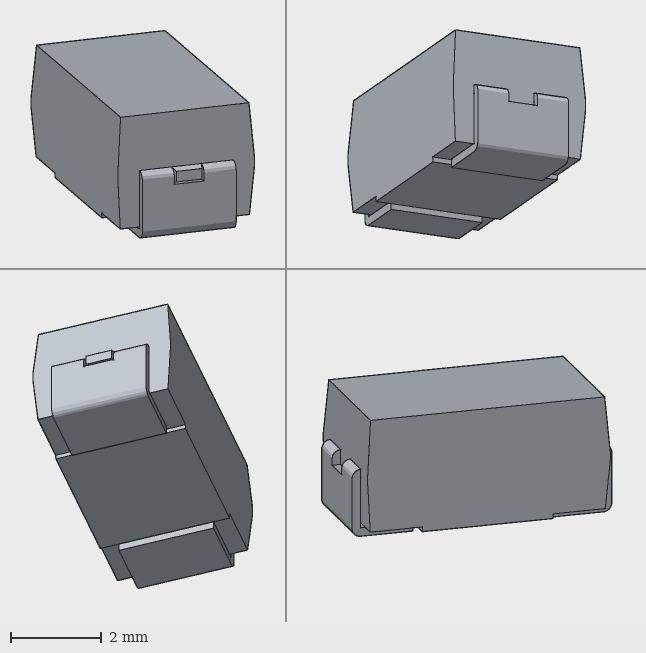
import cadquery as cq

LENGTH = 6.0
HEIGHT = 2.8
METAL = 0.2

HOUSING_LENGTH = LENGTH - 2 * METAL
HOUSING_WIDTH = 3.2
BAND_TOP = 1.555
BAND_BOTTOM = BAND_TOP - METAL
DRAFT_INSET = 0.095
FOOT_LENGTH = 3.02
FOOT_BOTTOM = 0.1
RELIEF_TOP = 0.215

LEAD_WIDTH = 2.195
TERMINAL_LENGTH = 1.405
NOTCH_WIDTH = 0.695
NOTCH_FLOOR = 1.21
NOTCH_REACH = 0.2

KEY_INSET = 0.05

HOUSING_END = HOUSING_LENGTH / 2
NOTCH_ROOT = HOUSING_END - NOTCH_REACH
NOTCH_HEIGHT = BAND_TOP - NOTCH_FLOOR


def box_between(x_min, x_max, width, z_min, z_max):
    """Box centred on Y, placed by its X and Z limits."""
    size_x = x_max - x_min
    size_z = z_max - z_min
    box = cq.Workplane("XY").box(size_x, width, size_z, centered=(False, True, False))
    return box.translate((x_min, 0, z_min))


def drafted_block(z_wide, z_narrow):
    """Rectangular block that narrows from the band toward z_narrow."""
    return (
        cq.Workplane("XY", origin=(0, 0, z_wide))
        .rect(HOUSING_LENGTH, HOUSING_WIDTH)
        .workplane(offset=z_narrow - z_wide)
        .rect(HOUSING_LENGTH - 2 * DRAFT_INSET, HOUSING_WIDTH - 2 * DRAFT_INSET)
        .loft(ruled=True)
    )


def make_key():
    """Key with a straight root inside the housing and a tapered nose in the notch."""
    root = box_between(NOTCH_ROOT, HOUSING_END, NOTCH_WIDTH, NOTCH_FLOOR, BAND_TOP)
    nose = (
        cq.Workplane("YZ", origin=(HOUSING_END, 0, NOTCH_FLOOR + NOTCH_HEIGHT / 2))
        .rect(NOTCH_WIDTH, NOTCH_HEIGHT)
        .workplane(offset=METAL)
        .rect(NOTCH_WIDTH - 2 * KEY_INSET, NOTCH_HEIGHT - 2 * KEY_INSET)
        .loft(ruled=True)
    )
    return root.union(nose)


def make_leadframe():
    """Strip through the housing, bent down and back under it at both ends."""
    outer = box_between(-LENGTH / 2, LENGTH / 2, LEAD_WIDTH, 0, BAND_TOP)
    outer = outer.edges("|Y").fillet(METAL)
    inside = box_between(-HOUSING_END, HOUSING_END, LEAD_WIDTH, METAL, BAND_BOTTOM)
    terminal_end = LENGTH / 2 - TERMINAL_LENGTH
    terminal_gap = box_between(-terminal_end, terminal_end, LEAD_WIDTH, 0, METAL)
    leadframe = outer.cut(inside).cut(terminal_gap)

    notch = box_between(NOTCH_ROOT, LENGTH / 2, NOTCH_WIDTH, NOTCH_FLOOR, BAND_TOP)
    return leadframe.cut(notch).cut(notch.mirror("YZ"))


def make_housing(leadframe):
    """Moulded housing with its foot and key, fitted around the leadframe."""
    band = box_between(-HOUSING_END, HOUSING_END, HOUSING_WIDTH, BAND_BOTTOM, BAND_TOP)
    upper = drafted_block(BAND_TOP, HEIGHT)
    lower = drafted_block(BAND_BOTTOM, FOOT_BOTTOM)
    housing = band.union(upper).union(lower)

    relief = box_between(FOOT_LENGTH / 2, HOUSING_END, HOUSING_WIDTH, FOOT_BOTTOM, RELIEF_TOP)
    housing = housing.cut(relief).cut(relief.mirror("YZ"))
    return housing.cut(leadframe).union(make_key())


leadframe = make_leadframe()
housing = make_housing(leadframe)

result = cq.Compound.makeCompound([housing.solids().val(), leadframe.solids().val()])